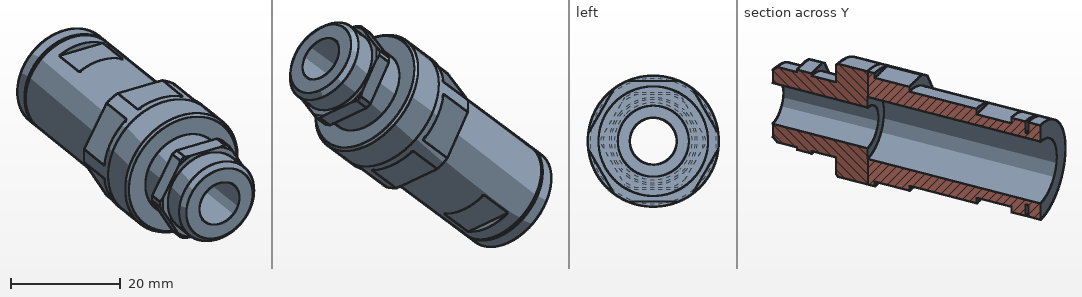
import cadquery as cq
import math

TOTAL_LENGTH = 55.0
HALF_LENGTH = TOTAL_LENGTH / 2
JOINT_X = 35.5 - HALF_LENGTH

BARREL_DIAMETER = 20.0
SLEEVE_BORE_DIAMETER = 13.0
LARGEST_DIAMETER = 24.0
SLEEVE_HEX_FLATS = 22.0
SLEEVE_HEX_START = 26.9 - HALF_LENGTH
SLEEVE_HEX_LENGTH = 7.1

GROOVE_DIAMETER = 15.3
GROOVE_START = 2.55 - HALF_LENGTH
GROOVE_WIDTH = 0.5

WRENCH_FLATS = 17.7
WRENCH_START = 6.0 - HALF_LENGTH
WRENCH_LENGTH = 7.1
WRENCH_WIDTH = 9.4
WRENCH_CORNER_RADIUS = 0.3

ADAPTER_BORE_DIAMETER = 8.5
COLLAR_LENGTH = 6.55
COLLAR_CHAMFER = 0.5
SPIGOT_DIAMETER = 16.0
SPIGOT_TIP_DIAMETER = 14.15
SPIGOT_CHAMFER_LENGTH = 1.0
ADAPTER_HEX_START = 46.95 - HALF_LENGTH
ADAPTER_HEX_LENGTH = 3.0
ADAPTER_HEX_FLATS = 17.0
ADAPTER_HEX_CORNER_DIAMETER = 19.05
HEX_CHAMFER_LENGTH = 0.2
HEX_CHAMFER_DEPTH = 0.45


def cylinder(start, length, diameter):
    """Solid cylinder along +X from a start plane."""
    return cq.Workplane("YZ", origin=(start, 0, 0)).circle(diameter / 2).extrude(length)


def hexagon(start, length, across_flats):
    """Hexagonal prism along +X with flats on the top and bottom."""
    across_corners = across_flats / math.cos(math.pi / 6)
    return cq.Workplane("YZ", origin=(start, 0, 0)).polygon(6, across_corners).extrude(length)


def wrench_cutter(side):
    """Block above (side = 1) or below (side = -1) one wrench flat."""
    middle = WRENCH_START + WRENCH_LENGTH / 2
    return (
        cq.Workplane("XY", origin=(middle, 0, side * WRENCH_FLATS / 2))
        .rect(WRENCH_LENGTH, WRENCH_WIDTH)
        .extrude(side * BARREL_DIAMETER / 2)
        .edges("|Z")
        .fillet(WRENCH_CORNER_RADIUS)
    )


def make_sleeve():
    sleeve = cylinder(-HALF_LENGTH, SLEEVE_HEX_START + HALF_LENGTH, BARREL_DIAMETER)
    head = cylinder(SLEEVE_HEX_START, JOINT_X - SLEEVE_HEX_START, LARGEST_DIAMETER)
    outside_hexagon = cylinder(SLEEVE_HEX_START, SLEEVE_HEX_LENGTH, 2 * LARGEST_DIAMETER).cut(
        hexagon(SLEEVE_HEX_START, SLEEVE_HEX_LENGTH, SLEEVE_HEX_FLATS)
    )
    sleeve = sleeve.union(head.cut(outside_hexagon))

    groove = cylinder(GROOVE_START, GROOVE_WIDTH, LARGEST_DIAMETER).cut(
        cylinder(GROOVE_START, GROOVE_WIDTH, GROOVE_DIAMETER)
    )
    sleeve = sleeve.cut(groove)

    for side in (1, -1):
        sleeve = sleeve.cut(wrench_cutter(side))

    return sleeve.cut(cylinder(-HALF_LENGTH, JOINT_X + HALF_LENGTH, SLEEVE_BORE_DIAMETER))


def make_adapter_hexagon():
    corner_round = (
        cylinder(ADAPTER_HEX_START, ADAPTER_HEX_LENGTH, ADAPTER_HEX_CORNER_DIAMETER)
        .faces(">X")
        .chamfer(HEX_CHAMFER_LENGTH, HEX_CHAMFER_DEPTH)
    )
    return hexagon(ADAPTER_HEX_START, ADAPTER_HEX_LENGTH, ADAPTER_HEX_FLATS).intersect(corner_round)


def make_adapter():
    spigot_radius = SPIGOT_DIAMETER / 2
    collar_radius = LARGEST_DIAMETER / 2
    collar_end = JOINT_X + COLLAR_LENGTH
    profile = [
        (JOINT_X, 0),
        (JOINT_X, collar_radius),
        (collar_end - COLLAR_CHAMFER, collar_radius),
        (collar_end, collar_radius - COLLAR_CHAMFER),
        (collar_end, spigot_radius),
        (HALF_LENGTH - SPIGOT_CHAMFER_LENGTH, spigot_radius),
        (HALF_LENGTH, SPIGOT_TIP_DIAMETER / 2),
        (HALF_LENGTH, 0),
    ]
    turned = cq.Workplane("XY").polyline(profile).close().revolve(360, (0, 0, 0), (1, 0, 0))
    bore = cylinder(JOINT_X, HALF_LENGTH - JOINT_X, ADAPTER_BORE_DIAMETER)
    return turned.union(make_adapter_hexagon()).cut(bore)


sleeve = make_sleeve()
adapter = make_adapter()
result = cq.Compound.makeCompound([sleeve.solids().val(), adapter.solids().val()])